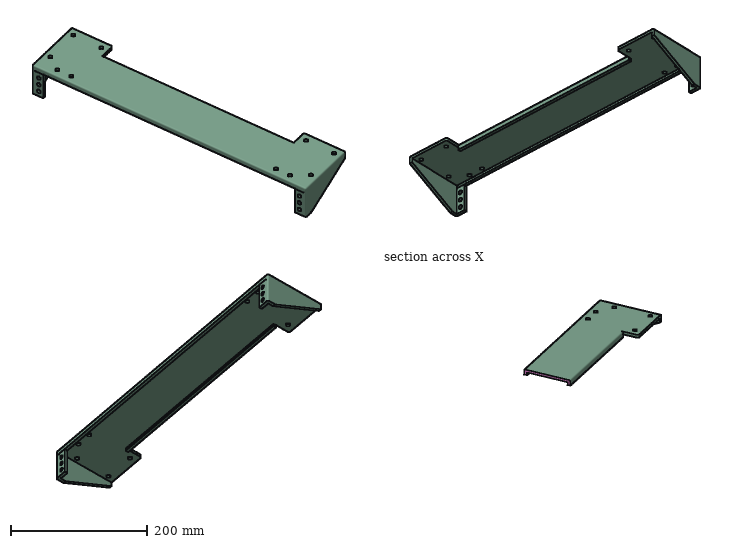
import cadquery as cq

length = 490.0
depth = 101.6
height = 55.6

sheet = 5.0
bend_radius = 2.5

lip_height = 9.5
leg_width = 20.0
leg_gap = 0.2
side_rear_height = 12.0
side_foot = 14.0

tab_width = 74.0
notch_depth = 25.0
tab_corner_radius = 3.0

hole_diameter = 6.2
hole_edge_offset = 12.0
plate_hole_pitch = 25.0
side_hole_from_front = 30.0
leg_hole_from_bottom = 9.5
leg_hole_pitch = 13.0
leg_hole_count = 3

right_x = length / 2
front_y = -depth / 2
rear_y = depth / 2
notch_y = rear_y - notch_depth
notch_half = right_x - tab_width
lip_bottom = height - lip_height


def block(x_min, x_max, y_min, y_max, z_min, z_max):
    """Axis-aligned box given by its limits."""
    size = (x_max - x_min, y_max - y_min, z_max - z_min)
    return cq.Workplane("XY").box(*size, centered=False).translate((x_min, y_min, z_min))


def bent_shell():
    """Top plate with front and side walls, open at the rear and the bottom."""
    outer = block(-right_x, right_x, front_y, rear_y, 0, height)
    outer = outer.edges("|X and <Y and >Z or |Y and >Z or |Z and <Y").fillet(bend_radius)
    inner_x = right_x - sheet
    inner = block(-inner_x, inner_x, front_y + sheet, rear_y + sheet, -sheet, height - sheet)
    return outer.cut(inner)


def side_taper():
    """Waste below the sloping lower edge of the side walls."""
    profile = [
        (front_y + side_foot, 0),
        (rear_y, height - side_rear_height),
        (rear_y + sheet, height - side_rear_height),
        (rear_y + sheet, -sheet),
        (front_y + side_foot, -sheet),
    ]
    return cq.Workplane("YZ").polyline(profile).close().extrude(right_x + sheet, both=True)


def front_opening():
    """Waste of the front wall below the lip and between the legs."""
    inner_leg_x = right_x - leg_width
    front_wall = (front_y - sheet, front_y + sheet)
    opening = block(-inner_leg_x, inner_leg_x, *front_wall, -sheet, lip_bottom)
    gap_x = right_x - sheet
    gap = block(-gap_x, gap_x, *front_wall, lip_bottom - leg_gap, lip_bottom)
    return opening.union(gap)


def rear_notch():
    """Waste between the rear tabs, back to the inner face of the rear flange."""
    return block(-notch_half, notch_half, notch_y - sheet, rear_y + sheet, lip_bottom, height + sheet)


def tab_corners(body):
    """The two vertical rear edges of the tabs that face the notch."""
    low_corner = (-notch_half - sheet, rear_y - sheet, 0)
    high_corner = (notch_half + sheet, rear_y + sheet, height + sheet)
    near_notch = cq.selectors.BoxSelector(low_corner, high_corner)
    return body.edges(near_notch).edges("|Z")


def rear_flange():
    """Downturned flange along the front edge of the rear notch."""
    outer = block(-notch_half, notch_half, notch_y - 2 * sheet, notch_y, lip_bottom, height)
    outer = outer.edges("|X and >Y and >Z").fillet(bend_radius)
    inner = block(-notch_half, notch_half, notch_y - 2 * sheet, notch_y - sheet, lip_bottom, height - sheet)
    return outer.cut(inner)


def plate_holes():
    """Screw holes through the top plate, mirrored left to right."""
    rear_row = rear_y - hole_edge_offset
    front_row = front_y + hole_edge_offset
    outer_x = right_x - hole_edge_offset
    middle_x = outer_x - plate_hole_pitch
    inner_x = middle_x - plate_hole_pitch
    points = []
    for side in (-1, 1):
        points += [
            (side * outer_x, rear_row),
            (side * inner_x, rear_row),
            (side * outer_x, front_y + side_hole_from_front),
            (side * middle_x, front_row),
            (side * inner_x, front_row),
        ]
    holes = cq.Workplane("XY").workplane(offset=lip_bottom).pushPoints(points)
    return holes.circle(hole_diameter / 2).extrude(2 * lip_height)


def leg_holes():
    """Vertical row of screw holes through each front leg."""
    hole_x = right_x - hole_edge_offset
    points = []
    for side in (-1, 1):
        for index in range(leg_hole_count):
            points.append((side * hole_x, leg_hole_from_bottom + index * leg_hole_pitch))
    holes = cq.Workplane("XZ").pushPoints(points).circle(hole_diameter / 2)
    return holes.extrude(depth)


body = bent_shell().cut(side_taper()).cut(front_opening()).cut(rear_notch())
body = tab_corners(body).fillet(tab_corner_radius)
body = body.union(rear_flange())
result = body.cut(plate_holes()).cut(leg_holes())